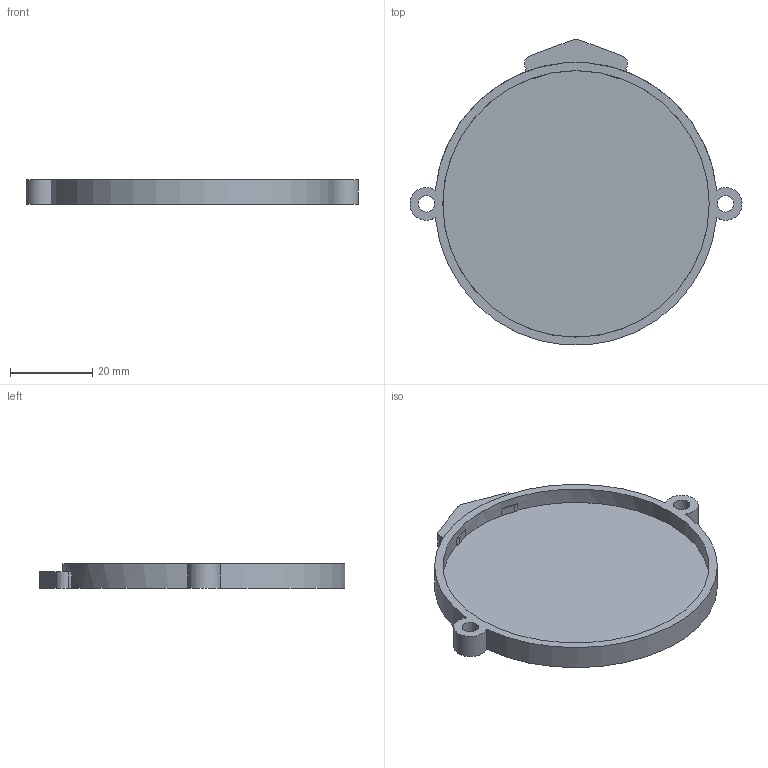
import cadquery as cq
import math

outer_radius = 34.5
wall_thickness = 2.0
inner_radius = outer_radius - wall_thickness
tray_height = 6.0
floor_thickness = 2.0

ear_radius = 4.0
ear_hole_diameter = 4.0
ear_offset = inner_radius + ear_radius

hanger_height = 4.0
bar_radius = 2.0
hanger_tip_y = 40.19
outer_apex_y = hanger_tip_y - bar_radius
outer_bar_end = (10.6, 34.2)
inner_apex_y = 36.1
inner_bar_end = (10.2, 32.65)


def cylinder(x, y, radius, height):
    """Upright cylinder standing on the base plane."""
    return cq.Workplane("XY").center(x, y).circle(radius).extrude(height)


def hanger_bar(apex_y, end, side):
    """Round-ended bar from the apex on the Y axis to its end; side is -1 or +1."""
    run = side * end[0]
    rise = end[1] - apex_y
    length = math.hypot(run, rise)
    angle = math.degrees(math.atan2(rise, run))
    return (
        cq.Workplane("XY")
        .slot2D(length + 2 * bar_radius, 2 * bar_radius)
        .extrude(hanger_height)
        .rotate((0, 0, 0), (0, 0, 1), angle)
        .translate((run / 2, apex_y + rise / 2, 0))
    )


def tray_with_ears():
    """Tray rim and floor, with a drilled ear on each side."""
    body = cylinder(0, 0, outer_radius, tray_height)
    for side in (-1, 1):
        body = body.union(cylinder(side * ear_offset, 0, ear_radius, tray_height))
    pocket_depth = tray_height - floor_thickness
    pocket = cylinder(0, 0, inner_radius, pocket_depth).translate((0, 0, floor_thickness))
    body = body.cut(pocket)
    for side in (-1, 1):
        body = body.cut(cylinder(side * ear_offset, 0, ear_hole_diameter / 2, tray_height))
    return body


def add_hanger(body):
    """Join both pairs of hanger bars to the tray."""
    for side in (-1, 1):
        body = body.union(hanger_bar(outer_apex_y, outer_bar_end, side))
        body = body.union(hanger_bar(inner_apex_y, inner_bar_end, side))
    return body


result = add_hanger(tray_with_ears())